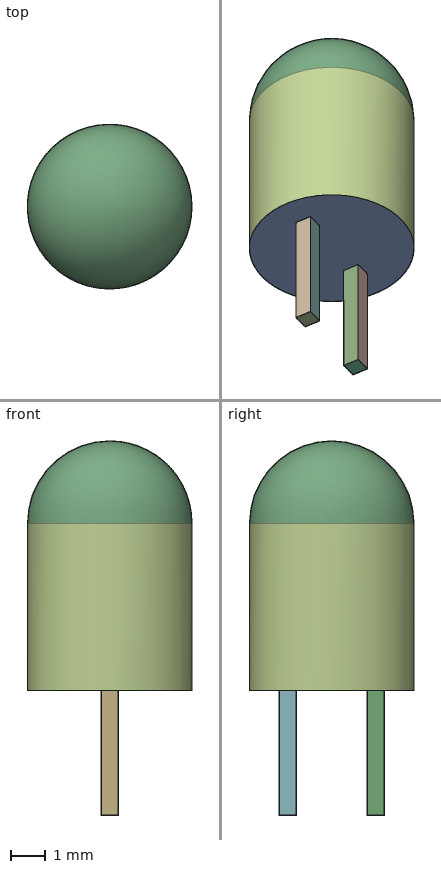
import cadquery as cq

total_height = 10.8
body_diameter = 4.75
lead_length = 3.6
lead_width = 0.5
lead_pitch = 2.54

body_radius = body_diameter / 2
cylinder_height = total_height - lead_length - body_radius


def make_lens():
    """Round body with a hemispherical dome, standing on top of the leads."""
    cylinder = cq.Workplane("XY").workplane(offset=lead_length).circle(body_radius).extrude(cylinder_height)
    dome_base = lead_length + cylinder_height
    dome = (
        cq.Workplane("XY")
        .sphere(body_radius, angle1=0)
        .translate((0, 0, dome_base))
    )
    return cylinder.union(dome)


def make_lead(y_position):
    """Square lead that ends against the flat underside of the lens."""
    return cq.Workplane("XY").center(0, y_position).rect(lead_width, lead_width).extrude(lead_length)


lens = make_lens()
leads = [make_lead(side * lead_pitch / 2) for side in (-1, 1)]

result = cq.Compound.makeCompound([lens.val(), *[lead.val() for lead in leads]])